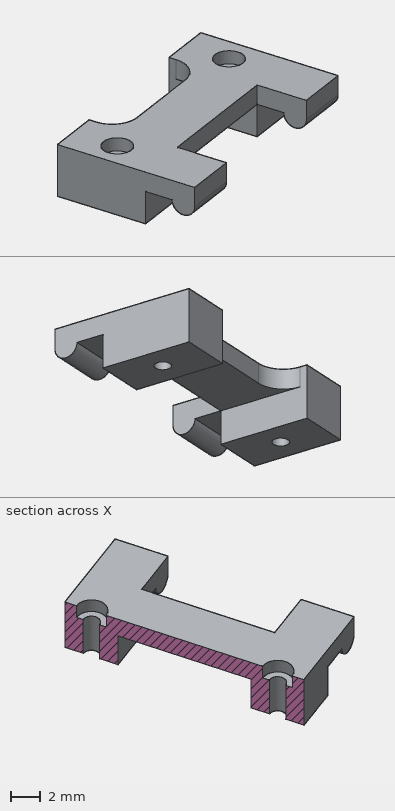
import cadquery as cq

length_y = 18.0
height = 4.0
plate_thickness = 1.5

leg_length = 7.0
leg_width = 4.0
bead_radius = 0.9
arm_end = 10.9
bead_center_x = arm_end - bead_radius

web_start = 2.55
web_corner_radius = 2.0

hole_diameter = 1.2
counterbore_diameter = 2.2
counterbore_depth = 1.0
hole_x = leg_length / 2

plate_bottom = height - plate_thickness
half_length = length_y / 2
leg_inner_y = half_length - leg_width
end_center_y = half_length - leg_width / 2


def end_block(center_y):
    """Leg and overhanging arm with a rounded bead under its tip."""
    return (
        cq.Workplane("XZ", origin=(0, center_y + leg_width / 2, 0))
        .moveTo(0, 0)
        .lineTo(leg_length, 0)
        .lineTo(leg_length, plate_bottom)
        .lineTo(bead_center_x - bead_radius, plate_bottom)
        .threePointArc((bead_center_x, plate_bottom - bead_radius), (arm_end, plate_bottom))
        .lineTo(arm_end, height)
        .lineTo(0, height)
        .close()
        .extrude(leg_width)
    )


def web():
    """Thin plate between the ends, flared by concave corners on its -X edge."""
    flare_start = web_start - web_corner_radius
    straight_half = leg_inner_y - web_corner_radius
    arc_mid = web_corner_radius * 0.5**0.5
    return (
        cq.Workplane("XY", origin=(0, 0, plate_bottom))
        .moveTo(leg_length, -leg_inner_y)
        .lineTo(leg_length, leg_inner_y)
        .lineTo(flare_start, leg_inner_y)
        .threePointArc((flare_start + arc_mid, straight_half + arc_mid), (web_start, straight_half))
        .lineTo(web_start, -straight_half)
        .threePointArc((flare_start + arc_mid, -straight_half - arc_mid), (flare_start, -leg_inner_y))
        .close()
        .extrude(plate_thickness)
    )


body = web()
for center_y in (-end_center_y, end_center_y):
    body = body.union(end_block(center_y))

result = (
    body.faces(">Z")
    .workplane(origin=(0, 0, height))
    .pushPoints([(hole_x, -end_center_y), (hole_x, end_center_y)])
    .cboreHole(hole_diameter, counterbore_diameter, counterbore_depth)
)